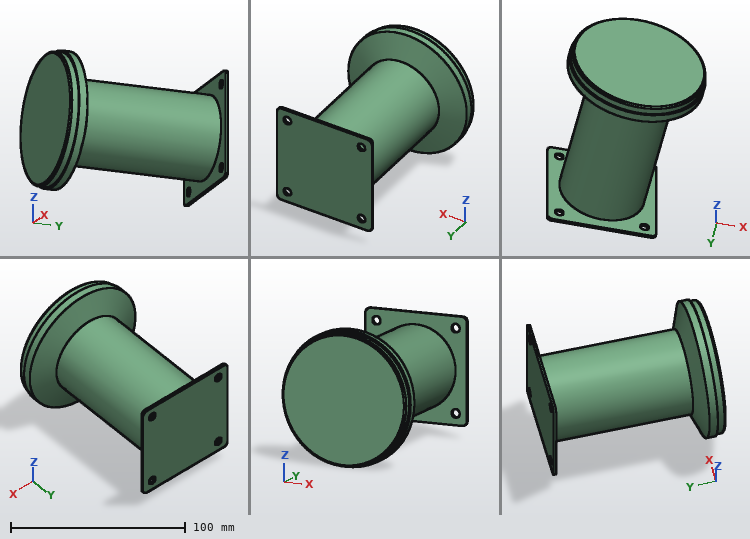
import cadquery as cq

total_length = 100.0

plate_side = 64.0
plate_thickness = 1.5
plate_corner_radius = 3.0
hole_diameter = 5.0
hole_spacing = 50.0

leg_diameter = 50.0
foot_diameter = 80.0
foot_band_height = 5.0
foot_cone_height = 6.0

pad_diameter = 78.0
pad_height = 5.0
pad_chamfer = 1.0

band_start = pad_height
cone_start = band_start + foot_band_height
leg_start = cone_start + foot_cone_height
plate_start = total_length - plate_thickness


def make_turned_body():
    """Pad, foot and leg as one profile revolved about the Y axis."""
    pad_radius = pad_diameter / 2
    foot_radius = foot_diameter / 2
    leg_radius = leg_diameter / 2
    profile = [
        (0, 0),
        (pad_radius - pad_chamfer, 0),
        (pad_radius, pad_chamfer),
        (pad_radius, band_start),
        (foot_radius, band_start),
        (foot_radius, cone_start),
        (leg_radius, leg_start),
        (leg_radius, plate_start),
        (0, plate_start),
    ]
    return cq.Workplane("XY").polyline(profile).close().revolve(360, (0, 0), (0, 1))


def make_plate():
    """Square plate with rounded corners and a through hole near each corner."""
    plate = (
        cq.Workplane("XZ", origin=(0, total_length, 0))
        .rect(plate_side, plate_side)
        .extrude(plate_thickness)
        .edges("|Y")
        .fillet(plate_corner_radius)
    )
    holes = (
        cq.Workplane("XZ", origin=(0, total_length, 0))
        .rect(hole_spacing, hole_spacing, forConstruction=True)
        .vertices()
        .circle(hole_diameter / 2)
        .extrude(plate_thickness)
    )
    return plate.cut(holes)


result = make_turned_body().union(make_plate())